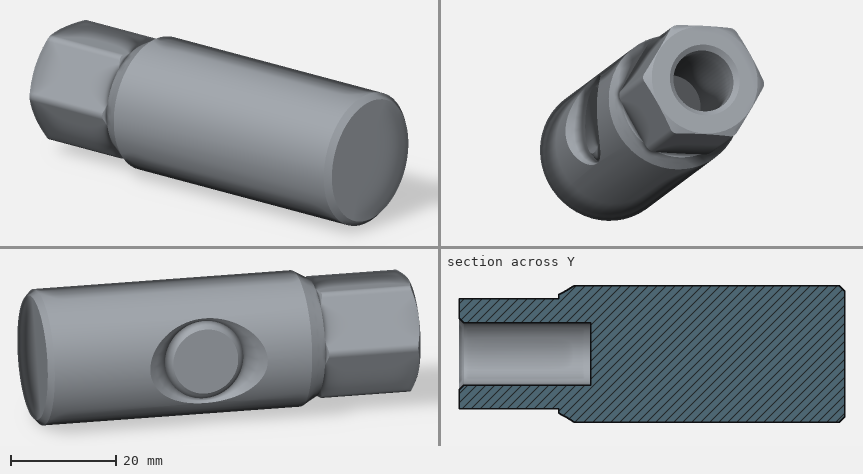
import cadquery as cq
import math

total_length = 73.4
body_diameter = 26.0
body_radius = body_diameter / 2
end_chamfer = 1.1

hex_sides = 6
hex_length = 18.9
hex_across_flats = 21.0
hex_corner_radius = 1.5
hex_front_bevel_diameter = 20.8
hex_rear_bevel_diameter = 21.6
hex_bevel_angle = 30.0

shoulder_length = 3.0
shoulder_angle = 30.0

bore_diameter = 11.8
bore_mouth_diameter = 13.7
bore_depth = 25.0

recess_x = 42.1
recess_mouth_radius = 11.5
seat_top_radius = 6.35
seat_top_y = 10.5

bore_mouth_chamfer = (bore_mouth_diameter - bore_diameter) / 2


def make_body():
    """Turned cylinder with a tapered shoulder and a chamfered far end."""
    shoulder_end = hex_length + shoulder_length
    shoulder_radius = body_radius - shoulder_length * math.tan(math.radians(shoulder_angle))
    return (
        cq.Workplane("XY")
        .moveTo(hex_length, 0)
        .lineTo(hex_length, shoulder_radius)
        .lineTo(shoulder_end, body_radius)
        .lineTo(total_length - end_chamfer, body_radius)
        .lineTo(total_length, body_radius - end_chamfer)
        .lineTo(total_length, 0)
        .close()
        .revolve(360, (0, 0, 0), (1, 0, 0))
    )


def make_hexagon():
    """Hexagon with rounded corners, flats facing +Z and -Z, bevelled at both ends."""
    half_side_angle = math.radians(180 / hex_sides)
    across_corners = hex_across_flats / math.cos(half_side_angle)
    prism = (
        cq.Workplane("YZ")
        .polygon(hex_sides, across_corners)
        .extrude(hex_length)
        .edges("|X")
        .fillet(hex_corner_radius)
    )
    outer_radius = across_corners / 2
    front_radius = hex_front_bevel_diameter / 2
    rear_radius = hex_rear_bevel_diameter / 2
    bevel_slope = math.tan(math.radians(hex_bevel_angle))
    front_length = (outer_radius - front_radius) * bevel_slope
    rear_length = (outer_radius - rear_radius) * bevel_slope
    envelope = (
        cq.Workplane("XY")
        .lineTo(0, front_radius)
        .lineTo(front_length, outer_radius)
        .lineTo(hex_length - rear_length, outer_radius)
        .lineTo(hex_length, rear_radius)
        .lineTo(hex_length, 0)
        .close()
        .revolve(360, (0, 0, 0), (1, 0, 0))
    )
    return prism.intersect(envelope)


def make_bore():
    """Blind bore along X with a 45 degree countersunk mouth."""
    bore_radius = bore_diameter / 2
    return (
        cq.Workplane("XY")
        .lineTo(0, bore_radius + bore_mouth_chamfer)
        .lineTo(bore_mouth_chamfer, bore_radius)
        .lineTo(bore_depth, bore_radius)
        .lineTo(bore_depth, 0)
        .close()
        .revolve(360, (0, 0, 0), (1, 0, 0))
    )


def make_side_recess():
    """Recess about a Y axis: two 45 degree cones form a V groove around the seat."""
    radial_gap = recess_mouth_radius - seat_top_radius
    mouth_to_seat = body_radius - seat_top_y
    groove_below_seat = (radial_gap - mouth_to_seat) / 2
    groove_radius = seat_top_radius + groove_below_seat
    return (
        cq.Workplane("XY")
        .moveTo(recess_x, body_radius)
        .lineTo(recess_x, seat_top_y)
        .lineTo(recess_x + seat_top_radius, seat_top_y)
        .lineTo(recess_x + groove_radius, seat_top_y - groove_below_seat)
        .lineTo(recess_x + recess_mouth_radius, body_radius)
        .close()
        .revolve(360, (recess_x, 0, 0), (recess_x, 1, 0))
    )


result = make_body().union(make_hexagon()).cut(make_bore()).cut(make_side_recess())